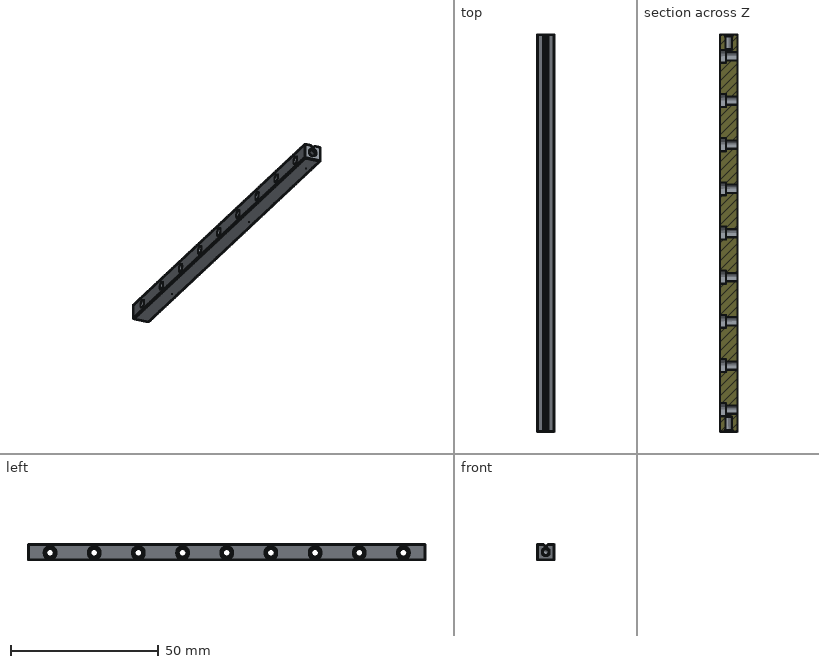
import cadquery as cq
import math

width = 6.0
length = 135.0
height = 5.5
edge_chamfer = 0.3

groove_width = 1.8
groove_angle = 90.0
relief_width = 0.65
relief_depth = 0.8

mount_count = 9
mount_pitch = 15.0
mount_height = 2.5
mount_diameter = 2.7
counterbore_diameter = 4.3
counterbore_depth = 2.0

end_hole_height = 2.75
mouth_diameter = 2.7
lead_in_diameter = 2.5
lead_in_depth = 0.7
core_diameter = 2.13
core_depth = 5.0
drill_tip_angle = 118.0


def make_body():
    """Bar standing on Z = 0, centred in X and Y, with every outer edge chamfered."""
    bar = cq.Workplane("XY").box(width, length, height, centered=(True, True, False))
    return bar.edges().chamfer(edge_chamfer)


def make_groove():
    """V groove and relief slot, both open to the top face and to both ends."""
    half_width = groove_width / 2
    half_relief = relief_width / 2
    v_depth = (half_width - half_relief) / math.tan(math.radians(groove_angle / 2))
    outline = [
        (-half_width, height),
        (-half_relief, height - v_depth),
        (-half_relief, height - relief_depth),
        (half_relief, height - relief_depth),
        (half_relief, height - v_depth),
        (half_width, height),
    ]
    return cq.Workplane("XZ").polyline(outline).close().extrude(length / 2, both=True)


def make_mount_holes():
    """Row of through holes counterbored from the -X side."""
    first_y = -mount_pitch * (mount_count - 1) / 2
    centers = [(first_y + mount_pitch * i, mount_height) for i in range(mount_count)]
    side = cq.Workplane("YZ", origin=(-width / 2, 0, 0)).pushPoints(centers)
    through_holes = side.circle(mount_diameter / 2).extrude(width)
    counterbores = side.circle(counterbore_diameter / 2).extrude(counterbore_depth)
    return through_holes.union(counterbores)


def make_end_hole():
    """Blind hole entering the -Y end face, revolved about its axis along Y."""
    mouth_radius = mouth_diameter / 2
    lead_in_radius = lead_in_diameter / 2
    core_radius = core_diameter / 2
    tip_length = core_radius / math.tan(math.radians(drill_tip_angle / 2))
    half_profile = [
        (0, 0),
        (mouth_radius, 0),
        (lead_in_radius, mouth_radius - lead_in_radius),
        (lead_in_radius, lead_in_depth),
        (core_radius, lead_in_depth),
        (core_radius, core_depth),
        (0, core_depth + tip_length),
    ]
    hole = cq.Workplane("XY").polyline(half_profile).close().revolve(360, (0, 0, 0), (0, 1, 0))
    return hole.translate((0, -length / 2, end_hole_height))


front_end_hole = make_end_hole()
back_end_hole = front_end_hole.mirror("XZ")

rail = make_body()
rail = rail.cut(make_groove())
rail = rail.cut(make_mount_holes())
rail = rail.cut(front_end_hole)
result = rail.cut(back_end_hole)